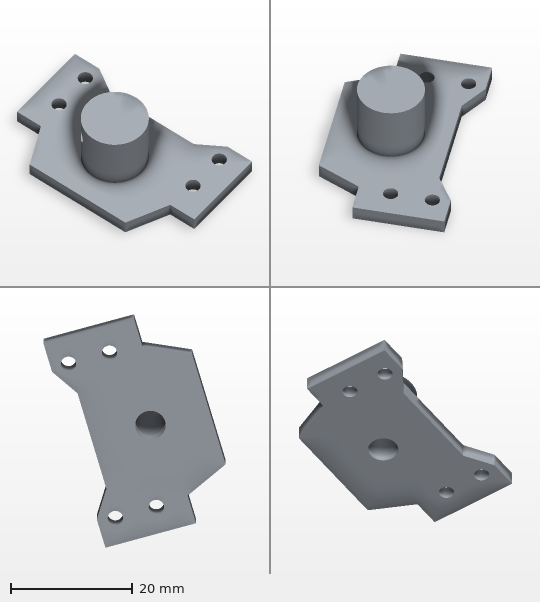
import cadquery as cq

plate_length = 37.0
plate_width = 23.0
plate_thickness = 2.5
shoulder_y = 7.5
notch_y = 20.0
front_half = 10.0
shoulder_half = 13.5
notch_half = 8.65
notch_mouth_half = 13.4

hole_diameter = 2.5
mount_half_spacing = 14.0
mount_rows_y = (13.0, 20.0)

total_height = 12.5
post_diameter = 11.2
post_y = 10.0
bore_diameter = 5.0
cap_thickness = 1.0
cross_hole_z = 9.0
cross_hole_direction = (-1, -1, 0)


def make_plate():
    """Flat plate, symmetric about X = 0, with its front edge at Y = 0."""
    half_length = plate_length / 2
    right_side = [
        (front_half, 0),
        (shoulder_half, shoulder_y),
        (half_length, shoulder_y),
        (half_length, plate_width),
        (notch_mouth_half, plate_width),
        (notch_half, notch_y),
    ]
    left_side = [(-x, y) for x, y in reversed(right_side)]
    plate = cq.Workplane("XY").polyline(right_side + left_side).close().extrude(plate_thickness)
    hole_centers = [
        (side * mount_half_spacing, y) for side in (-1, 1) for y in mount_rows_y
    ]
    holes = cq.Workplane("XY").pushPoints(hole_centers).circle(hole_diameter / 2)
    return plate.cut(holes.extrude(plate_thickness))


def vertical_cylinder(diameter, height):
    """Cylinder on the post axis, standing on Z = 0."""
    return cq.Workplane("XY").center(0, post_y).circle(diameter / 2).extrude(height)


def make_cross_hole():
    """Diagonal hole from the post axis out through the front-left wall."""
    plane = cq.Plane(origin=(0, post_y, cross_hole_z), normal=cross_hole_direction)
    return cq.Workplane(plane).circle(hole_diameter / 2).extrude(post_diameter)


post = vertical_cylinder(post_diameter, total_height)
bore = vertical_cylinder(bore_diameter, total_height - cap_thickness)

result = make_plate().union(post).cut(bore).cut(make_cross_hole())